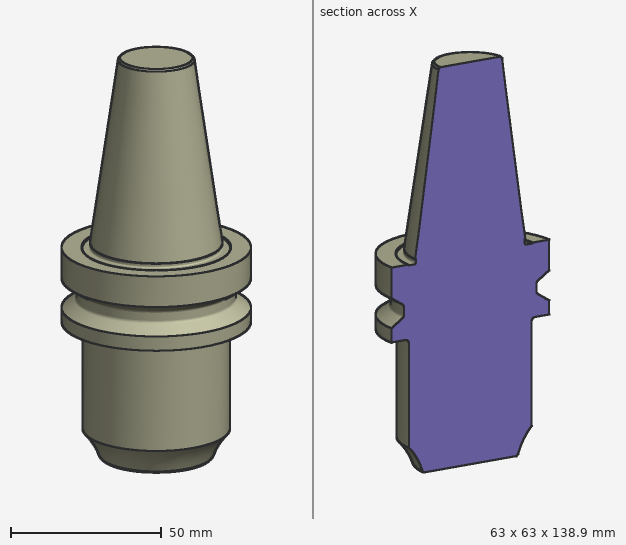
import cadquery as cq

total_height = 138.9

nose_radius = 24.6
nose_tip_radius = 19.2
nose_tip_chamfer = 0.7
nose_curve_height = 9.6
nose_curve_mid_radius = 21.1
nose_curve_mid_z = 5.0
nose_root_fillet = 1.3

flange_radius = 31.5
flange_bottom = 46.8
flange_top = 72.8
lower_rim_height = 5.0
upper_rim_height = 10.7
groove_radius = 26.5
groove_side_height = 3.2
groove_fillet = 1.0

relief_radius = 24.9
relief_depth = 0.3
relief_edge_chamfer = 0.3

taper_ratio = 7 / 24
taper_root_radius = 22.1
collar_height = 1.5
collar_step = 0.3
collar_fillet = 0.5
top_chamfer = 0.7

collar_radius = taper_root_radius - collar_step
relief_floor = flange_top - relief_depth
taper_bottom = flange_top + collar_height
taper_top = total_height - top_chamfer
taper_end_radius = taper_root_radius - (taper_top - taper_bottom) * taper_ratio / 2

groove_bottom = flange_bottom + lower_rim_height
groove_top = flange_top - upper_rim_height
floor_bottom = groove_bottom + groove_side_height
floor_top = groove_top - groove_side_height


def turned_body():
    """Revolve the half outline of nose, flange and taper about Z."""
    outline = (
        cq.Workplane("XZ")
        .moveTo(0, 0)
        .lineTo(nose_tip_radius - nose_tip_chamfer, 0)
        .lineTo(nose_tip_radius, nose_tip_chamfer)
        .threePointArc((nose_curve_mid_radius, nose_curve_mid_z), (nose_radius, nose_curve_height))
        .lineTo(nose_radius, flange_bottom - nose_root_fillet)
        .radiusArc((nose_radius + nose_root_fillet, flange_bottom), nose_root_fillet)
        .lineTo(flange_radius, flange_bottom)
        .lineTo(flange_radius, groove_bottom)
        .lineTo(groove_radius, floor_bottom)
        .lineTo(groove_radius, floor_top)
        .lineTo(flange_radius, groove_top)
        .lineTo(flange_radius, flange_top)
        .lineTo(relief_radius, flange_top)
        .lineTo(relief_radius - relief_edge_chamfer, relief_floor)
        .lineTo(collar_radius + collar_fillet, relief_floor)
        .radiusArc((collar_radius, relief_floor + collar_fillet), collar_fillet)
        .lineTo(collar_radius, taper_bottom - collar_step)
        .lineTo(taper_root_radius, taper_bottom)
        .lineTo(taper_end_radius, taper_top)
        .lineTo(taper_end_radius - top_chamfer, total_height)
        .lineTo(0, total_height)
        .close()
    )
    return outline.revolve(360, (0, 0, 0), (0, 1, 0))


def round_groove_floor(body):
    """Fillet the two inner corners of the gripper groove."""
    corners = cq.selectors.BoxSelector(
        (-flange_radius, -flange_radius, groove_bottom + groove_side_height / 2),
        (flange_radius, flange_radius, groove_top - groove_side_height / 2),
    )
    return body.edges("%CIRCLE").edges(corners).fillet(groove_fillet)


result = round_groove_floor(turned_body())